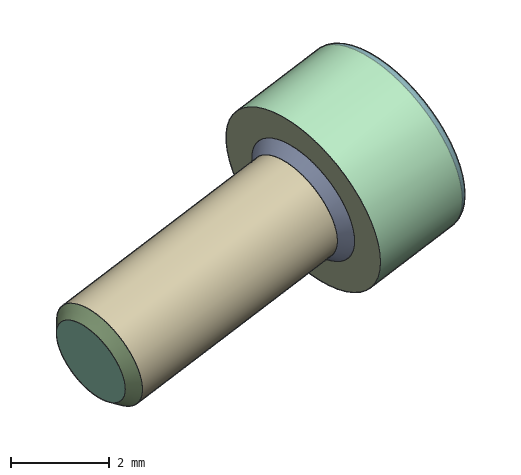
import cadquery as cq

total_length = 8.5
head_diameter = 4.5
head_height = 2.5
head_edge_radius = 0.19
shank_diameter = 2.5
tip_chamfer = 0.25
neck_chamfer = 0.25

head_radius = head_diameter / 2
shank_radius = shank_diameter / 2
shank_length = total_length - head_height


def cylinder_along_y(radius, start, length):
    """Solid cylinder on the Y axis, running from y = start towards +Y."""
    plane = cq.Workplane("XZ", origin=(0, start, 0))
    return plane.circle(radius).extrude(-length)


head = cylinder_along_y(head_radius, 0, head_height)
head = head.faces(">Y").edges().fillet(head_edge_radius)

shank = cylinder_along_y(shank_radius, -shank_length, shank_length)
shank = shank.faces("<Y").edges().chamfer(tip_chamfer)

neck_corner = cq.selectors.RadiusNthSelector(0)
screw = head.union(shank)
result = screw.faces("<Y[1]").edges(neck_corner).chamfer(neck_chamfer)